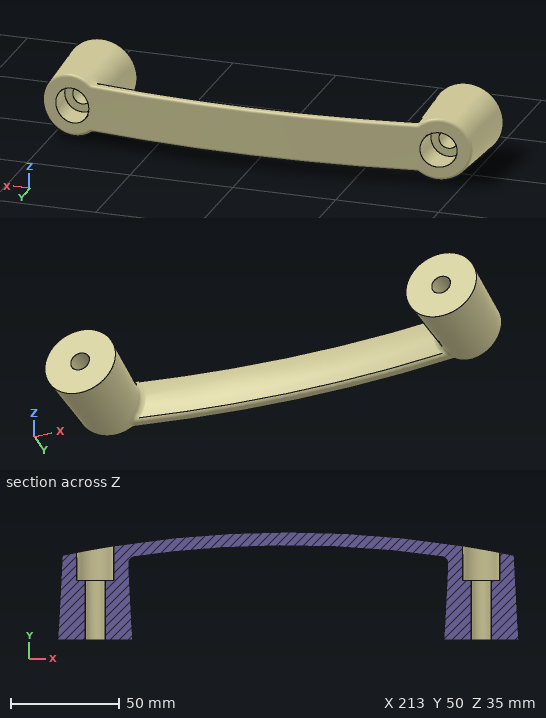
import cadquery as cq
import math

length = 213.0
height = 50.0

post_base_diameter = 35.0
post_taper = 3.0
post_spacing = length - post_base_diameter

hole_diameter = 9.2
counterbore_diameter = 17.0
counterbore_floor = 27.7

arch_radius = 511.2
grip_width = 23.2
grip_thickness = 6.5
grip_lower_round = 2.1
grip_side_height = 5.0
junction_round = 2.8

top_edge_round = 1.5

trim_allowance = 6.4

arch_center_y = height - arch_radius
post_base_radius = post_base_diameter / 2
post_centers = (-post_spacing / 2, post_spacing / 2)


def cylinder(x, start_y, end_y, diameter):
    """Cylinder along +Y."""
    return cq.Workplane("XZ", origin=(x, start_y, 0)).circle(diameter / 2).extrude(start_y - end_y)


def make_post(x):
    """Tapered post, taller than the finished arch surface."""
    top_radius = post_base_radius - height * math.tan(math.radians(post_taper))
    cone = cq.Solid.makeCone(
        post_base_radius, top_radius, height, cq.Vector(x, 0, 0), cq.Vector(0, 1, 0)
    )
    return cq.Workplane(obj=cone)


def make_grip():
    """Bar with a bowed underside, revolved about the arch axis between the post centers."""
    half_width = grip_width / 2
    shoulder_y = height - grip_side_height
    stock_y = height + trim_allowance
    sweep_angle = 2 * math.degrees(math.asin(post_spacing / 2 / arch_radius))
    axis_start = (0, arch_center_y, 0)
    axis_end = (0, arch_center_y, 1)
    bar = (
        cq.Workplane("YZ")
        .moveTo(stock_y, -half_width)
        .lineTo(stock_y, half_width)
        .lineTo(shoulder_y, half_width)
        .threePointArc((height - grip_thickness, 0), (shoulder_y, -half_width))
        .close()
        .revolve(sweep_angle, (arch_center_y, 0), (arch_center_y, 1))
        .rotate(axis_start, axis_end, -sweep_angle / 2)
    )
    lower_corners = bar.edges(cq.selectors.RadiusNthSelector(1))
    return lower_corners.fillet(grip_lower_round)


def make_arch():
    """Large cylinder whose surface is the shared top of the grip and posts."""
    blank = cq.Workplane("XY", origin=(0, arch_center_y, -length / 2))
    return blank.circle(arch_radius).extrude(length)


def round_junctions(handle):
    """Blend the grip into the inner flank of each post."""
    inner_reach = post_spacing / 2 - post_base_radius
    for side in (-1, 1):
        near_x = side * inner_reach
        far_x = side * (post_spacing / 2 - post_base_radius / 2)
        region = cq.selectors.BoxSelector(
            (min(near_x, far_x), height / 2, -grip_width),
            (max(near_x, far_x), height, grip_width),
        )
        edges = handle.edges(region).edges("not %LINE")
        handle = edges.fillet(junction_round)
    return handle


handle = make_grip()
for x in post_centers:
    handle = handle.union(make_post(x))
handle = round_junctions(handle)
handle = handle.intersect(make_arch())

handle = handle.faces("%CYLINDER").edges().fillet(top_edge_round)

for x in post_centers:
    handle = handle.cut(cylinder(x, 0, height, hole_diameter))
    handle = handle.cut(cylinder(x, counterbore_floor, height, counterbore_diameter))

result = handle